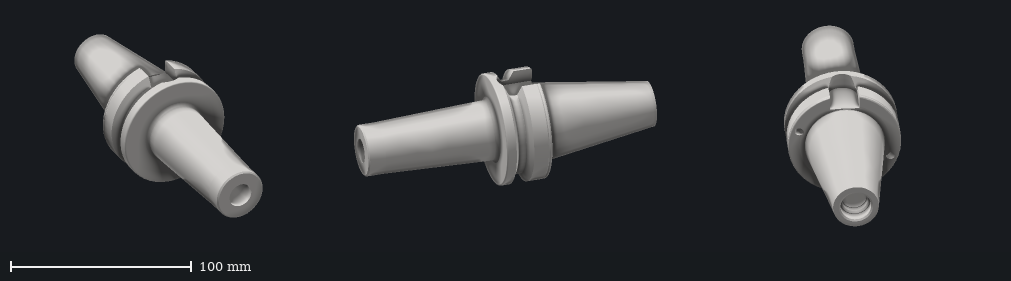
import cadquery as cq
import math

TOTAL_LENGTH = 167.4
TAPER_END_X = 65.5
FLANGE_FRONT_X = 66.1
UNDERCUT_X = 67.0
VEE_CENTER_X = 81.9
FLANGE_BACK_X = 92.4
NECK_START_X = 94.9
COLLAR_START_X = 157.4

TAPER_SMALL_R = 12.7
TAPER_SLOPE = 7 / 48
TAPER_LARGE_R = TAPER_SMALL_R + TAPER_END_X * TAPER_SLOPE
UNDERCUT_R = 21.8
UNDERCUT_MOUTH_R = 25.1

FLANGE_R = 31.5
FLANGE_FILLET = 0.8
VEE_FLOOR_R = 26.5
VEE_FLOOR_WIDTH = 4.4
VEE_WALL_ANGLE = 60.0
VEE_FILLET = 0.5

RING_CENTER_X = 67.8
RING_WIDTH = 1.2
RING_DEPTH = 0.3

NECK_ROOT_R = 18.5
NECK_R = 16.9
COLLAR_DIAMETER = 29.0
COLLAR_R = COLLAR_DIAMETER / 2
NOSE_CHAMFER = 0.8

BORE_R = 6.9
STEP_R = 7.2
STEP_DEPTH = 10.4
SEAT_R = 8.2
SEAT_DEPTH = 1.0
COUNTERBORE_R = 8.5
COUNTERBORE_DEPTH = 6.2
MOUTH_R = 9.5
MOUTH_DEPTH = 0.7

SLOT_WIDTH = 16.2
SLOT_FLOOR_R = 22.5
SLOT_END_X = 88.7

PORT_R = 2.2
PORT_DEPTH = 3.3
PORT_PITCH_R = 27.0
PORT_ANGLES = (160.0, 340.0)
PORT_TILT = 30.0

CLEARANCE = 1.7


def make_body():
    """Turn the outer shape about the X axis."""
    quarter_arc_mid = math.sqrt(0.5)
    vee_angle = math.radians(VEE_WALL_ANGLE)
    vee_run = (FLANGE_R - VEE_FLOOR_R) / math.tan(vee_angle)
    floor_start = VEE_CENTER_X - VEE_FLOOR_WIDTH / 2
    floor_end = VEE_CENTER_X + VEE_FLOOR_WIDTH / 2
    fillet_bulge = FLANGE_FILLET * quarter_arc_mid
    front_fillet_x = FLANGE_FRONT_X + FLANGE_FILLET
    back_fillet_x = FLANGE_BACK_X - FLANGE_FILLET
    fillet_r = FLANGE_R - FLANGE_FILLET
    tangent = VEE_FILLET * math.tan(vee_angle / 2)
    tangent_run = tangent * math.cos(vee_angle)
    tangent_rise = tangent * math.sin(vee_angle)
    mid_run = tangent - VEE_FILLET * math.sin(vee_angle / 2)
    mid_rise = VEE_FILLET * (1 - math.cos(vee_angle / 2))
    return (
        cq.Workplane("XY")
        .moveTo(0, 0)
        .lineTo(0, TAPER_SMALL_R)
        .lineTo(TAPER_END_X, TAPER_LARGE_R)
        .lineTo(TAPER_END_X, UNDERCUT_R)
        .lineTo(UNDERCUT_X, UNDERCUT_R)
        .lineTo(UNDERCUT_X, SLOT_FLOOR_R)
        .lineTo(FLANGE_FRONT_X, UNDERCUT_MOUTH_R)
        .lineTo(FLANGE_FRONT_X, fillet_r)
        .threePointArc(
            (front_fillet_x - fillet_bulge, fillet_r + fillet_bulge),
            (front_fillet_x, FLANGE_R),
        )
        .lineTo(RING_CENTER_X - RING_WIDTH / 2, FLANGE_R)
        .lineTo(RING_CENTER_X, FLANGE_R - RING_DEPTH)
        .lineTo(RING_CENTER_X + RING_WIDTH / 2, FLANGE_R)
        .lineTo(floor_start - vee_run, FLANGE_R)
        .lineTo(floor_start - tangent_run, VEE_FLOOR_R + tangent_rise)
        .threePointArc(
            (floor_start + mid_run, VEE_FLOOR_R + mid_rise),
            (floor_start + tangent, VEE_FLOOR_R),
        )
        .lineTo(floor_end - tangent, VEE_FLOOR_R)
        .threePointArc(
            (floor_end - mid_run, VEE_FLOOR_R + mid_rise),
            (floor_end + tangent_run, VEE_FLOOR_R + tangent_rise),
        )
        .lineTo(floor_end + vee_run, FLANGE_R)
        .lineTo(back_fillet_x, FLANGE_R)
        .threePointArc(
            (back_fillet_x + fillet_bulge, fillet_r + fillet_bulge),
            (FLANGE_BACK_X, fillet_r),
        )
        .lineTo(FLANGE_BACK_X, NECK_ROOT_R)
        .threePointArc(
            (
                NECK_START_X - (NECK_START_X - FLANGE_BACK_X) * quarter_arc_mid,
                NECK_ROOT_R - (NECK_ROOT_R - NECK_R) * quarter_arc_mid,
            ),
            (NECK_START_X, NECK_R),
        )
        .lineTo(COLLAR_START_X, COLLAR_R)
        .lineTo(TOTAL_LENGTH - NOSE_CHAMFER, COLLAR_R)
        .lineTo(TOTAL_LENGTH, COLLAR_R - NOSE_CHAMFER)
        .lineTo(TOTAL_LENGTH, 0)
        .close()
        .revolve(360, (0, 0, 0), (1, 0, 0))
    )


def make_bore():
    """Turn the stepped bore that runs through the part."""
    return (
        cq.Workplane("XY")
        .moveTo(0, 0)
        .lineTo(0, MOUTH_R)
        .lineTo(MOUTH_DEPTH, COUNTERBORE_R)
        .lineTo(COUNTERBORE_DEPTH, COUNTERBORE_R)
        .lineTo(COUNTERBORE_DEPTH, SEAT_R)
        .lineTo(COUNTERBORE_DEPTH + SEAT_DEPTH, STEP_R)
        .lineTo(STEP_DEPTH, STEP_R)
        .lineTo(STEP_DEPTH, BORE_R)
        .lineTo(TOTAL_LENGTH, BORE_R)
        .lineTo(TOTAL_LENGTH, 0)
        .close()
        .revolve(360, (0, 0, 0), (1, 0, 0))
    )


def make_slot(side):
    """Round-ended drive slot; side is +1 for the top, -1 for the bottom."""
    half_width = SLOT_WIDTH / 2
    start_x = TAPER_END_X
    arc_center_x = SLOT_END_X - half_width
    return (
        cq.Workplane("XY", origin=(0, 0, side * SLOT_FLOOR_R))
        .moveTo(start_x, -half_width)
        .lineTo(arc_center_x, -half_width)
        .threePointArc((SLOT_END_X, 0), (arc_center_x, half_width))
        .lineTo(start_x, half_width)
        .close()
        .extrude(side * (FLANGE_R - SLOT_FLOOR_R + CLEARANCE))
    )


def make_port(angle):
    """Blind port in the flange front, leaning toward the axis as it goes in."""
    turn = math.radians(angle)
    tilt = math.radians(PORT_TILT)
    mouth = cq.Vector(
        FLANGE_FRONT_X,
        PORT_PITCH_R * math.cos(turn),
        -PORT_PITCH_R * math.sin(turn),
    )
    inward = cq.Vector(
        math.cos(tilt),
        -math.sin(tilt) * math.cos(turn),
        math.sin(tilt) * math.sin(turn),
    )
    start = mouth - inward * CLEARANCE
    return cq.Workplane(cq.Solid.makeCylinder(PORT_R, PORT_DEPTH + CLEARANCE, start, inward))


result = make_body().cut(make_bore())
for slot_side in (1, -1):
    result = result.cut(make_slot(slot_side))
for port_angle in PORT_ANGLES:
    result = result.cut(make_port(port_angle))